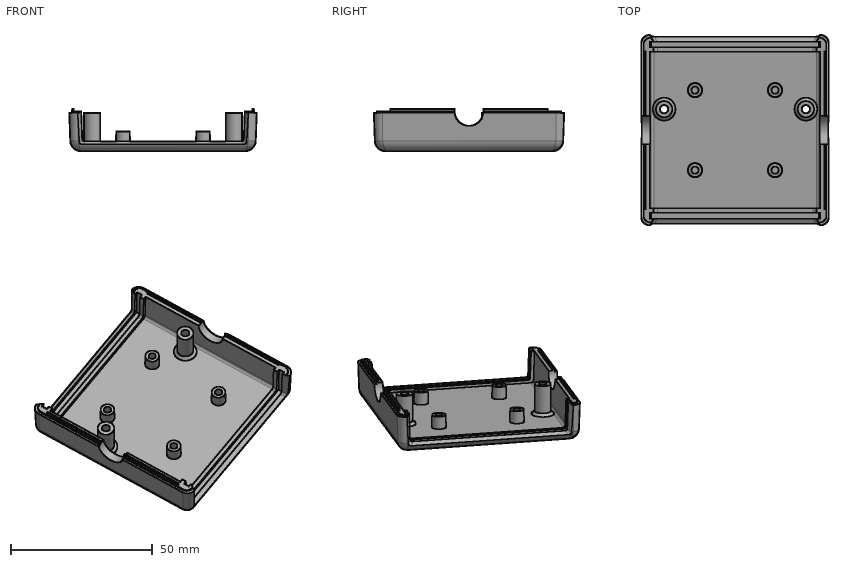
import cadquery as cq
import math

length_x = 66.2
length_y = 67.2
rim_height = 13.5
step_height = 14.05
tongue_height = 14.9
draft = 2.0
corner_radius = 3.0
bottom_radius = 3.9

wall = 3.1
floor_thickness = 2.5
ridge_rise = 1.0
ridge_width = 1.2
inner_radius = 1.0

cavity_half_y = 27.6
slot_inner_y = 29.15
slot_outer_y = 31.25
flare_angle = 29.0

step_inset_x = 0.9
step_inset_y = 1.1
step_corner_radius = 2.3

tongue_half_y = 27.8
tongue_inner_x = 31.45
tongue_base = 0.8
tongue_top = 0.55

notch_radius = 5.05

short_offset = 14.1
short_height = 7.0
short_top_radius = 2.4
short_base_radius = 2.55
short_hole_radius = 1.3

tall_x = 25.0
tall_y = 7.4
tall_radius = 2.9
tall_base_radius = 4.0
tall_foot_height = 1.0
tall_hole_radius = 1.4

half_x = length_x / 2
half_y = length_y / 2
clearance = 0.7
cut_height = tongue_height + clearance
draft_slope = math.tan(math.radians(draft))


def outer_shell():
    """Drafted block, widest at the rim, with a rounded underside."""
    block = (
        cq.Workplane("XY")
        .workplane(offset=rim_height)
        .sketch()
        .rect(length_x, length_y)
        .vertices()
        .fillet(corner_radius)
        .finalize()
        .extrude(-rim_height, taper=draft)
    )
    return block.faces("<Z").edges().fillet(bottom_radius)


def rim_step():
    """Raised step that stands in from the outer edge of the rim."""
    return (
        cq.Workplane("XY")
        .workplane(offset=rim_height)
        .rect(length_x - 2 * step_inset_x, length_y - 2 * step_inset_y)
        .extrude(step_height - rim_height)
        .edges("|Z")
        .fillet(step_corner_radius)
    )


def tongue(side):
    """Locating tongue along one side wall, leaning in on its outer face."""
    profile = [
        (side * tongue_inner_x, step_height),
        (side * (tongue_inner_x + tongue_base), step_height),
        (side * (tongue_inner_x + tongue_top), tongue_height),
        (side * tongue_inner_x, tongue_height),
    ]
    return cq.Workplane("XZ").polyline(profile).close().extrude(tongue_half_y, both=True)


def inside_profile(start_y, rise=0, inset=0):
    """Drafted X-Z section of the inside, raised from the floor and inset from the walls."""
    bottom = floor_thickness + rise
    step_half = half_x - wall - inset
    top_half = step_half + (cut_height - step_height) * draft_slope
    bottom_half = step_half - (step_height - bottom) * draft_slope
    return (
        cq.Workplane("XZ", origin=(0, start_y, 0))
        .moveTo(-top_half, cut_height)
        .lineTo(-bottom_half, bottom)
        .lineTo(bottom_half, bottom)
        .lineTo(top_half, cut_height)
        .close()
    )


def rounded_inside(half_length, rise=0, inset=0):
    """Inside space along Y with rounded edges between floor and side walls."""
    space = inside_profile(half_length, rise, inset).extrude(2 * half_length)
    return space.faces("<Z").edges("|Y").fillet(inner_radius)


def end_opening():
    """Flared opening from the panel slot out through the -Y end."""
    outer_y = half_y + clearance
    spread = (outer_y - slot_outer_y) * math.tan(math.radians(flare_angle))
    sections = [
        inside_profile(-slot_outer_y, ridge_rise, ridge_width),
        inside_profile(-outer_y, ridge_rise - spread, ridge_width - spread),
    ]
    opening = cq.Workplane(cq.Solid.makeLoft([section.wire().val() for section in sections], True))
    lower_corners = opening.faces("<Z").edges("not |X")
    return lower_corners.fillet(inner_radius)


def short_boss(x, y):
    """Tapered boss with a blind hole down to the floor."""
    height = short_height - floor_thickness
    boss = (
        cq.Workplane("XY", origin=(x, y, floor_thickness))
        .circle(short_base_radius)
        .workplane(offset=height)
        .circle(short_top_radius)
        .loft()
    )
    return boss.faces(">Z").workplane().hole(2 * short_hole_radius, height)


def tall_boss(x):
    """Screw pillar with a conical foot."""
    profile = [
        (0, 0),
        (tall_base_radius, 0),
        (tall_radius, tall_foot_height),
        (tall_radius, rim_height - floor_thickness),
        (0, rim_height - floor_thickness),
    ]
    pillar = cq.Workplane("XZ").polyline(profile).close().revolve(360, (0, 0), (0, 1))
    return pillar.translate((x, tall_y, floor_thickness))


result = outer_shell().union(rim_step())
for side in (-1, 1):
    result = result.union(tongue(side))

result = result.cut(rounded_inside(cavity_half_y))
result = result.cut(rounded_inside(slot_outer_y, ridge_rise, ridge_width))
opening = end_opening()
slot = inside_profile(-slot_inner_y).extrude(slot_outer_y - slot_inner_y)
for cutter in (opening, slot):
    result = result.cut(cutter).cut(cutter.mirror("XZ"))

notch = cq.Workplane("YZ").center(0, step_height).circle(notch_radius).extrude(half_x, both=True)
result = result.cut(notch)

for x in (-short_offset, short_offset):
    for y in (-short_offset, short_offset):
        result = result.union(short_boss(x, y))

for x in (-tall_x, tall_x):
    screw_hole = cq.Workplane("XY", origin=(x, tall_y, 0)).circle(tall_hole_radius).extrude(rim_height)
    result = result.union(tall_boss(x)).cut(screw_hole)